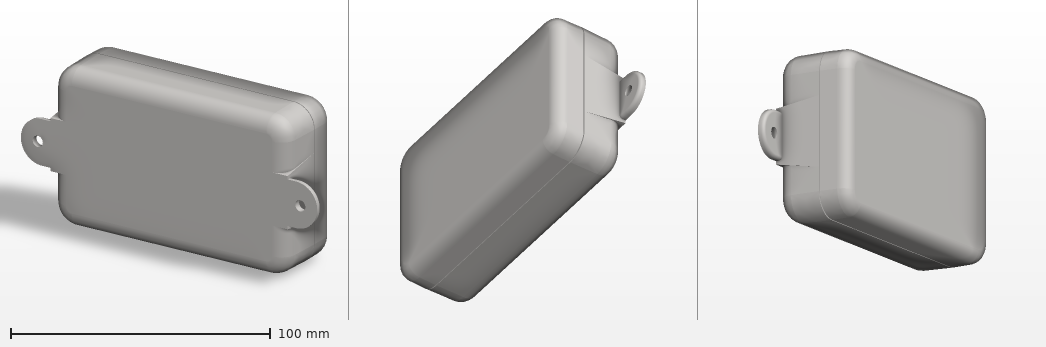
import cadquery as cq

OVERALL_LENGTH = 136.3
DEPTH = 32.0

SHELL_LENGTH = 108.5
SHELL_HEIGHT = 66.7
CORNER_RADIUS = 9.5
DRAFT_ANGLE = 1.3

BASE_DEPTH = 19.1
GROOVE_WIDTH = 0.4
GROOVE_DEPTH = 1.4
BASE_EDGE_RADIUS = 6.5
COVER_EDGE_RADIUS = 5.0
COVER_FRONT = BASE_DEPTH + GROOVE_WIDTH
COVER_DEPTH = DEPTH - COVER_FRONT

PAD_FRONT_LENGTH = 109.0
PAD_FRONT_HEIGHT = 22.1
PAD_REAR_HEIGHT = 28.4

TAB_THICKNESS = 2.7
TAB_RADIUS = 9.7
TAB_EDGE_RADIUS = 1.4
TAB_HOLE_DIAMETER = 4.6
TAB_HOLE_SPACING = 120.8


def xz_plane(y):
    """Work plane at depth y with its normal along +Y; its local Y axis points to -Z."""
    return cq.Workplane(cq.Plane(origin=(0, y, 0), xDir=(1, 0, 0), normal=(0, 1, 0)))


def rounded_block(y, depth, inset=0.0, taper=0.0):
    """Block with rounded corners, starting at y and running along the sign of depth."""
    outline = cq.Sketch().rect(SHELL_LENGTH - 2 * inset, SHELL_HEIGHT - 2 * inset)
    outline = outline.vertices().fillet(CORNER_RADIUS - inset)
    return xz_plane(y).placeSketch(outline).extrude(depth, taper=taper)


def end_pads():
    """Bar through the base whose sloping ends stand proud of the end walls."""
    end_profile = (
        cq.Workplane("YZ")
        .moveTo(0, PAD_FRONT_HEIGHT / 2)
        .lineTo(BASE_DEPTH, PAD_REAR_HEIGHT / 2)
        .lineTo(BASE_DEPTH, -PAD_REAR_HEIGHT / 2)
        .lineTo(0, -PAD_FRONT_HEIGHT / 2)
        .close()
        .extrude(PAD_FRONT_LENGTH / 2, both=True)
    )
    plan_profile = (
        cq.Workplane("XY")
        .moveTo(-PAD_FRONT_LENGTH / 2, 0)
        .lineTo(PAD_FRONT_LENGTH / 2, 0)
        .lineTo(SHELL_LENGTH / 2, BASE_DEPTH)
        .lineTo(-SHELL_LENGTH / 2, BASE_DEPTH)
        .close()
        .extrude(PAD_REAR_HEIGHT / 2, both=True)
    )
    return end_profile.intersect(plan_profile)


def tab_strip():
    """Round-ended strip flush with the front face, its rear edges rounded."""
    strip = xz_plane(0).slot2D(OVERALL_LENGTH, 2 * TAB_RADIUS).extrude(TAB_THICKNESS)
    return strip.faces(">Y").edges().fillet(TAB_EDGE_RADIUS)


def tab_holes():
    """One screw hole cutter in each tab."""
    return (
        xz_plane(0)
        .rarray(TAB_HOLE_SPACING, 1.4, 2, 1)
        .circle(TAB_HOLE_DIAMETER / 2)
        .extrude(TAB_THICKNESS)
    )


def make_base():
    """Front half with its pads and tabs; a raised land meets the cover inside the groove."""
    shell = rounded_block(BASE_DEPTH, -BASE_DEPTH, taper=DRAFT_ANGLE)
    shell = shell.faces("<Y").edges().fillet(BASE_EDGE_RADIUS)
    land = rounded_block(BASE_DEPTH, GROOVE_WIDTH, inset=GROOVE_DEPTH)
    return shell.union(end_pads()).union(tab_strip()).cut(tab_holes()).union(land)


def make_cover():
    """Plain rear half with a rounded rear edge."""
    shell = rounded_block(COVER_FRONT, COVER_DEPTH, taper=DRAFT_ANGLE)
    return shell.faces(">Y").edges().fillet(COVER_EDGE_RADIUS)


base = make_base()
cover = make_cover()

result = cq.Compound.makeCompound([base.solids().val(), cover.solids().val()])